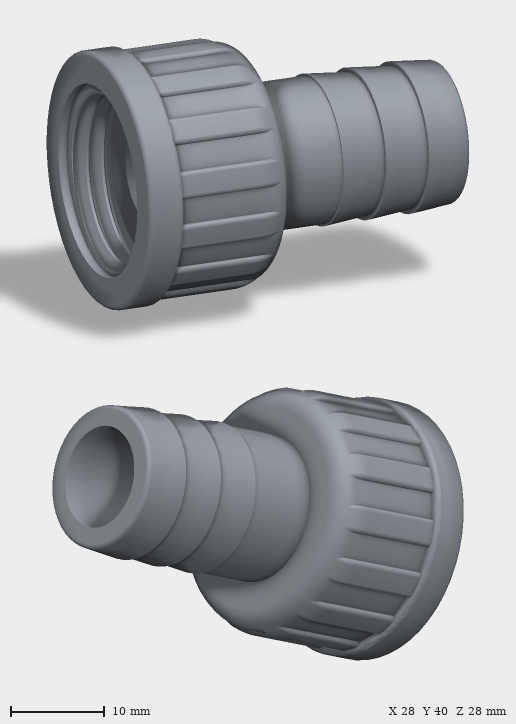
import cadquery as cq
import math


FLANGE_DIAMETER = 28.0
FLANGE_LENGTH = 4.0
FLANGE_FACE_DIAMETER = 27.0
FLANGE_ROUND = (FLANGE_DIAMETER - FLANGE_FACE_DIAMETER) / 2
NUT_DIAMETER = 26.0
NUT_LENGTH = 17.0
NUT_REAR_ROUND = 2.0

RIB_COUNT = 14
RIB_START = FLANGE_LENGTH / 2
RIB_OUTER_DIAMETER = 27.0
RIB_HEIGHT = (RIB_OUTER_DIAMETER - NUT_DIAMETER) / 2
RIB_WIDTH = 3.0
RIB_EDGE_ROUND = RIB_HEIGHT
RIB_STRAIGHT_END = 13.5
RIB_TIP_RADIUS = 4.15
RIB_END = 16.0

THREAD_MINOR_DIAMETER = 18.5
THREAD_MAJOR_DIAMETER = 20.9
THREAD_PITCH = 1.8
THREAD_ANGLE = 55.0
THREAD_ROOT_FLAT = 0.25
THREAD_CUT_OVERLAP = 0.1
THREAD_TURNS = 4
ENTRY_DIAMETER = 20.95
ENTRY_DEPTH = 1.0

WASHER_DIAMETER = THREAD_MINOR_DIAMETER
WASHER_BORE = 10.5
WASHER_FRONT = 5.5
WASHER_THICKNESS = 3.0
WASHER_REAR = WASHER_FRONT + WASHER_THICKNESS

COLLAR_DIAMETER = WASHER_DIAMETER
COLLAR_REAR = 14.0
TAIL_BORE = 11.0
TUBE_DIAMETER = 16.0
TAIL_END = 40.0
TAIL_END_ROUND = 0.5
BARB_COUNT = 3
BARB_LENGTH = 5.0
BARB_LARGE_DIAMETER = 16.5
BARB_SMALL_DIAMETER = 15.5


def cylinder(diameter, start, end):
    """Solid cylinder on the Y axis between two Y positions."""
    return cq.Workplane("XZ", origin=(0, start, 0)).circle(diameter / 2).extrude(start - end)


def make_nut_blank():
    """Flange and smooth barrel, with their rounded rims."""
    flange = cylinder(FLANGE_DIAMETER, 0, FLANGE_LENGTH).edges().fillet(FLANGE_ROUND)
    barrel = cylinder(NUT_DIAMETER, FLANGE_LENGTH / 2, NUT_LENGTH)
    barrel = barrel.faces(">Y").edges().fillet(NUT_REAR_ROUND)
    return flange.union(barrel)


def make_rib():
    """Grip rib at +Z: a slice of a ring whose outer face curves inwards until it sinks into the barrel."""
    root_radius = NUT_DIAMETER / 2 - NUT_REAR_ROUND
    outer_radius = RIB_OUTER_DIAMETER / 2
    tip_length = RIB_END - RIB_STRAIGHT_END
    tip_angle = math.asin(tip_length / RIB_TIP_RADIUS)

    def tip_point(angle):
        drop = RIB_TIP_RADIUS * (1 - math.cos(angle))
        return (outer_radius - drop, RIB_STRAIGHT_END + RIB_TIP_RADIUS * math.sin(angle))

    ring = (
        cq.Workplane("XY")
        .moveTo(root_radius, RIB_START)
        .lineTo(outer_radius, RIB_START)
        .lineTo(outer_radius, RIB_STRAIGHT_END)
        .threePointArc(tip_point(tip_angle / 2), tip_point(tip_angle))
        .lineTo(root_radius, RIB_END)
        .close()
        .revolve(360, (0, 0, 0), (0, 1, 0))
    )
    slab = cq.Workplane("XY").box(RIB_WIDTH, 2 * NUT_LENGTH, FLANGE_DIAMETER, centered=(True, True, False))
    return ring.intersect(slab).edges("|Y").edges(">Z").fillet(RIB_EDGE_ROUND)


def make_thread_groove():
    """Right-hand helical groove with a flat root; a turn crosses +X at the entry depth."""
    minor_radius = THREAD_MINOR_DIAMETER / 2
    major_radius = THREAD_MAJOR_DIAMETER / 2
    slope = math.tan(math.radians(THREAD_ANGLE / 2))
    root_half = THREAD_ROOT_FLAT / 2
    inner_radius = minor_radius - THREAD_CUT_OVERLAP
    mouth_half = root_half + (major_radius - inner_radius) * slope
    helix = cq.Wire.makeHelix(THREAD_PITCH, THREAD_PITCH * THREAD_TURNS, minor_radius)
    groove = (
        cq.Workplane("XZ")
        .polyline([
            (inner_radius, -mouth_half),
            (major_radius, -root_half),
            (major_radius, root_half),
            (inner_radius, mouth_half),
        ])
        .close()
        .sweep(cq.Workplane(helix), isFrenet=True)
    )
    return groove.rotate((0, 0, 0), (1, 0, 0), -90).translate((0, ENTRY_DEPTH - THREAD_PITCH, 0))


def make_nut():
    """Nut with ribs, threaded bore, plain entry and a hole for the hose tail in its rear wall."""
    nut = make_nut_blank()
    rib = make_rib()
    for index in range(RIB_COUNT):
        nut = nut.union(rib.rotate((0, 0, 0), (0, 1, 0), index * 360 / RIB_COUNT))
    nut = nut.cut(cylinder(THREAD_MINOR_DIAMETER, 0, COLLAR_REAR))
    nut = nut.cut(cylinder(ENTRY_DIAMETER, 0, ENTRY_DEPTH))
    nut = nut.cut(cylinder(TUBE_DIAMETER, COLLAR_REAR, NUT_LENGTH))
    return nut.cut(make_thread_groove())


def make_washer():
    """Flat sealing ring held between the hose tail and the mating pipe."""
    return cylinder(WASHER_DIAMETER, WASHER_FRONT, WASHER_REAR).cut(
        cylinder(WASHER_BORE, WASHER_FRONT, WASHER_REAR)
    )


def make_hose_tail():
    """Collar, plain tube and a run of barbs that narrow towards the hose end."""
    barbs_start = TAIL_END - BARB_COUNT * BARB_LENGTH
    outline = (
        cq.Workplane("XY")
        .moveTo(TAIL_BORE / 2, WASHER_REAR)
        .lineTo(COLLAR_DIAMETER / 2, WASHER_REAR)
        .lineTo(COLLAR_DIAMETER / 2, COLLAR_REAR)
        .lineTo(TUBE_DIAMETER / 2, COLLAR_REAR)
        .lineTo(TUBE_DIAMETER / 2, barbs_start)
    )
    for index in range(BARB_COUNT):
        start = barbs_start + index * BARB_LENGTH
        outline = outline.lineTo(BARB_LARGE_DIAMETER / 2, start)
        outline = outline.lineTo(BARB_SMALL_DIAMETER / 2, start + BARB_LENGTH)
    tail = outline.lineTo(TAIL_BORE / 2, TAIL_END).close().revolve(360, (0, 0, 0), (0, 1, 0))
    return tail.faces(">Y").edges(cq.selectors.RadiusNthSelector(-1)).fillet(TAIL_END_ROUND)


nut = make_nut()
washer = make_washer()
hose_tail = make_hose_tail()
result = cq.Compound.makeCompound([nut.val(), washer.val(), hose_tail.val()])